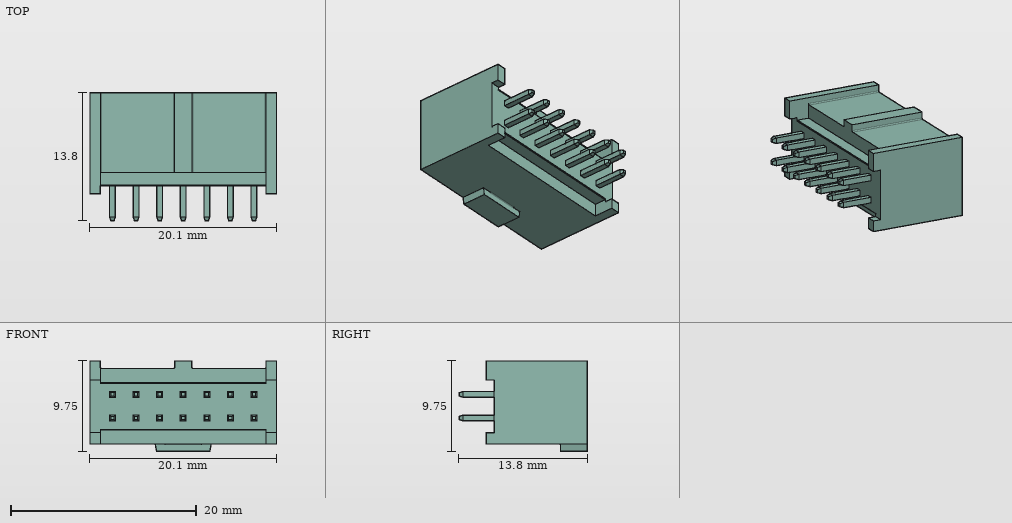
import cadquery as cq


housing_width = 20.12
housing_length = 10.03
wall_top = 8.15
rib_height = 0.8
housing_top = wall_top + rib_height

face_mid_height = 4.06

cheek_width = 1.15
cheek_inner_x = housing_width / 2 - cheek_width
arm_length = 0.87
arm_gap = 5.66

middle_rib_width = 1.85
channel_fillet = 0.12

rabbet_depth = 1.45
band_height = 5.1
face_edge_chamfer = 0.08

key_height = 0.8
key_length = 2.9
key_root_width = 6.05
key_tip_width = 5.75
key_fillet_width = 3.9
key_fillet = 0.07

pins_per_row = 7
pin_mid_height = wall_top / 2
pitch = 2.54
pin_size = 0.64
pin_tip_size = 0.36
pin_length = 3.77
pin_taper_length = 0.4


def box(x_min, x_max, y_min, y_max, z_min, z_max):
    size = (x_max - x_min, y_max - y_min, z_max - z_min)
    return cq.Workplane("XY").box(*size, centered=False).translate((x_min, y_min, z_min))


def make_housing():
    """Full-height block with arms, before the channels and rabbets are cut."""
    half_width = housing_width / 2
    block = box(-half_width, half_width, -arm_length, housing_length, 0, housing_top)
    between_arms = box(-cheek_inner_x, cheek_inner_x, -arm_length, 0, 0, housing_top)
    arm_notch = box(
        -half_width, half_width, -arm_length, 0, face_mid_height - arm_gap / 2, face_mid_height + arm_gap / 2
    )
    return block.cut(between_arms).cut(arm_notch)


def make_channel(side):
    """Cutter for the top channel on one side (-1 or +1) of the middle rib."""
    inner_x = middle_rib_width / 2
    channel = box(inner_x, cheek_inner_x, 0, housing_length, wall_top, housing_top)
    channel = channel.edges("|Y and <Z").fillet(channel_fillet)
    return channel if side > 0 else channel.mirror("YZ")


def make_rabbets():
    """Cutter for both rabbets, leaving a chamfered band at the mounting face."""
    band_half = band_height / 2
    full_height = box(-cheek_inner_x, cheek_inner_x, 0, rabbet_depth, 0, housing_top)
    band_bottom = face_mid_height - band_half
    band_top = face_mid_height + band_half
    band = box(-cheek_inner_x, cheek_inner_x, 0, rabbet_depth, band_bottom, band_top)
    band = band.edges("|X and <Y").chamfer(face_edge_chamfer)
    return full_height.cut(band)


def make_key():
    """Tapered key below the underside, with a short fillet in its front corner."""
    key = (
        cq.Workplane("XZ", origin=(0, housing_length, 0))
        .moveTo(-key_root_width / 2, 0)
        .lineTo(key_root_width / 2, 0)
        .lineTo(key_tip_width / 2, -key_height)
        .lineTo(-key_tip_width / 2, -key_height)
        .close()
        .extrude(key_length)
    )
    front_y = housing_length - key_length
    corner = (
        cq.Workplane("YZ", origin=(-key_fillet_width / 2, 0, 0))
        .moveTo(front_y, 0)
        .lineTo(front_y - key_fillet, 0)
        .radiusArc((front_y, -key_fillet), key_fillet)
        .close()
        .extrude(key_fillet_width)
    )
    return key.union(corner)


def make_pin(x, z):
    """Square pin with a tapered tip, standing on the mounting face."""
    shank_length = pin_length - pin_taper_length
    return (
        cq.Workplane("XZ", origin=(x, 0, z))
        .rect(pin_size, pin_size)
        .extrude(shank_length)
        .faces("<Y")
        .workplane()
        .rect(pin_size, pin_size)
        .workplane(offset=pin_taper_length)
        .rect(pin_tip_size, pin_tip_size)
        .loft(combine=True)
    )


result = make_housing()
for side in (-1, 1):
    result = result.cut(make_channel(side))
result = result.cut(make_rabbets()).union(make_key())
for row in (-0.5, 0.5):
    for column in range(pins_per_row):
        pin_x = (column - (pins_per_row - 1) / 2) * pitch
        result = result.union(make_pin(pin_x, pin_mid_height + row * pitch))